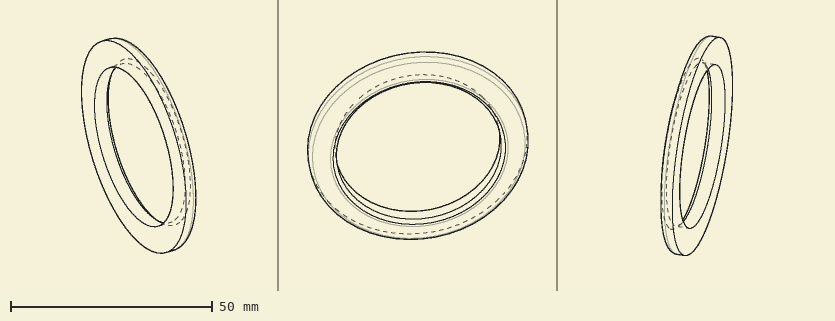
import cadquery as cq
import math

outer_radius = 27.5
bore_radius = 20.6
thickness = 4.4
back_face_radius = 22.2
bevel_angle = 15.0
bore_chamfer = 0.95
edge_radius = 1.2

bevel_drop = (outer_radius - back_face_radius) * math.tan(math.radians(bevel_angle))
rim_height = thickness - bevel_drop

arc_center_x = outer_radius - edge_radius
tangent_length = edge_radius * math.tan(math.radians(90 - bevel_angle) / 2)
arc_center_y = rim_height - tangent_length


def arc_point(angle):
    """Point on the rounding arc, with the angle in degrees from the rim side."""
    turn = math.radians(angle)
    return (
        arc_center_x + edge_radius * math.cos(turn),
        arc_center_y + edge_radius * math.sin(turn),
    )


arc_sweep = 90 - bevel_angle

profile = (
    cq.Workplane("XY")
    .moveTo(bore_radius, 0)
    .lineTo(outer_radius, 0)
    .lineTo(*arc_point(0))
    .threePointArc(arc_point(arc_sweep / 2), arc_point(arc_sweep))
    .lineTo(back_face_radius, thickness)
    .lineTo(bore_radius + bore_chamfer, thickness)
    .lineTo(bore_radius, thickness - bore_chamfer)
    .close()
)

result = profile.revolve(360, (0, 0, 0), (0, 1, 0))